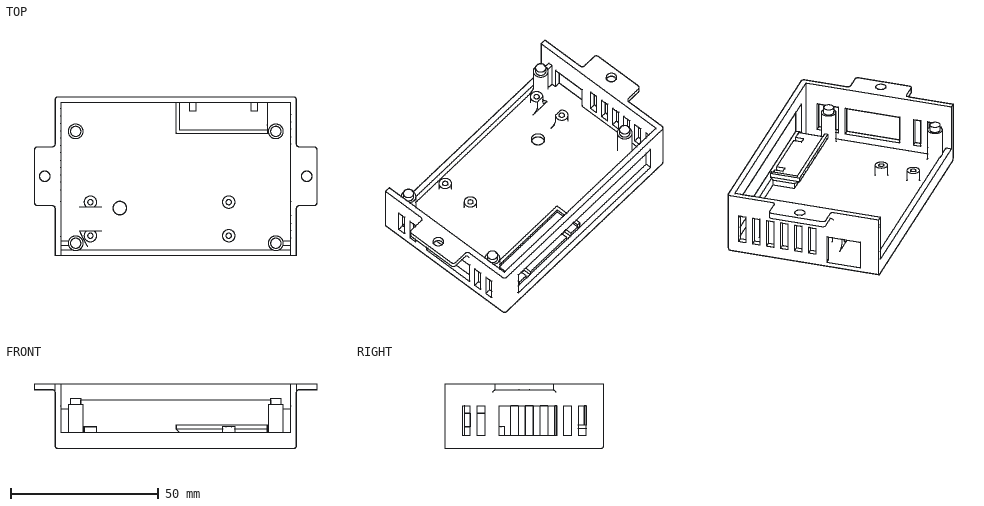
import cadquery as cq
LENGTH = 82
WIDTH = 54
HEIGHT = 22
WALL = 2
FLOOR = 2
EDGE_RADIUS = 1
FRONT_WALL_TOP = 5.5

TAB_WIDTH = 20
TAB_REACH = 7
TAB_THICKNESS = 2
TAB_RADIUS = 1
TAB_HOLE_DIAMETER = 3.5
TAB_HOLE_INSET = 3.5

WINDOW_LENGTH = 68
WINDOW_BOTTOM = FRONT_WALL_TOP
WINDOW_TOP = 16.5

SLOT_WIDTH = 2.6
SLOT_PITCH = 5
SLOT_BOTTOM = 4.5
SLOT_HEIGHT = 10
LEFT_SLOT_COUNT = 6
LEFT_SLOT_LAST_Y = 21.7
RIGHT_SLOT_YS = (-19.7, -14.7, 14.7, 19.7)
RIGHT_WINDOW_WIDTH = 19.5
RIGHT_WINDOW_Y = 1.25

PORT_WIDTH = 12
PORT_HEIGHT = 10

POST_DIAMETER = 5
POST_TOP = 15
POST_X = 34
POST_FRONT_Y = -22.75
POST_BACK_Y = 15.25
PIN_DIAMETER = 3.5
PIN_HEIGHT = 2
BASE_FLARE = 2
RIB_THICKNESS = 1.5
RIB_TOP = 13.5

STANDOFF_DIAMETER = 4.2
STANDOFF_TOP = 7.5
STANDOFF_BORE = 1.8
STANDOFF_LEFT_X = -29
STANDOFF_RIGHT_X = 18
STANDOFF_SPACING = 11.4
BOARD_Y = -14.5
CONNECTOR_WIDTH = 8.2

FLOOR_HOLE_DIAMETER = 4.5
FLOOR_HOLE_X = -19
FLOOR_HOLE_Y = -10.8

SHELF_LEFT_X = 0.1
SHELF_RIGHT_X = 31.1
SHELF_DEPTH = 10.4
SHELF_TOP = 8.1
SHELF_EDGE = 1.45
SHELF_UNDERCUT = 2.75
SHELF_RIM = 1.15
SHELF_RECESS = 1.2
NOTCH_WIDTH = 2.2
NOTCH_LENGTH = 2.9
NOTCH_DEPTH = 2
NOTCH_XS = (5.8, 26.6)

INNER_X = LENGTH / 2 - WALL
INNER_Y = WIDTH / 2 - WALL
TAB_BOTTOM = HEIGHT - TAB_THICKNESS

SELECT_MARGIN = 0.1


def block(x0, x1, y0, y1, z0, z1):
    """Box between two opposite corners."""
    return cq.Workplane("XY").box(x1 - x0, y1 - y0, z1 - z0, centered=False).translate((x0, y0, z0))


def cylinder(diameter, x, y, z0, z1):
    """Upright cylinder from z0 to z1."""
    return cq.Workplane("XY").circle(diameter / 2).extrude(z1 - z0).translate((x, y, z0))


def shell():
    """Open tray with a low front wall and rounded side, back and bottom edges."""
    outer = block(-LENGTH / 2, LENGTH / 2, -WIDTH / 2, WIDTH / 2, 0, HEIGHT)
    outer = outer.edges("(>Y and |Z) or (<Z and (|Y or >Y))").fillet(EDGE_RADIUS)
    cavity = block(-INNER_X, INNER_X, -INNER_Y, INNER_Y, FLOOR, HEIGHT)
    front_gap = block(-INNER_X, INNER_X, -WIDTH / 2, -INNER_Y, FRONT_WALL_TOP, HEIGHT)
    return outer.cut(cavity).cut(front_gap)


def add_tabs(body):
    """Screw tabs level with the rim, blended into the end walls."""
    reach = LENGTH / 2 + TAB_REACH
    for side in (-1, 1):
        inner, outer = sorted((side * INNER_X, side * reach))
        tab = block(inner, outer, -TAB_WIDTH / 2, TAB_WIDTH / 2, TAB_BOTTOM, HEIGHT)
        tip = ">X" if side > 0 else "<X"
        body = body.union(tab.edges("|Z").edges(tip).fillet(TAB_RADIUS))
        at_wall = cq.selectors.BoxSelector(
            (side * LENGTH / 2 - SELECT_MARGIN, -TAB_WIDTH / 2 - SELECT_MARGIN, TAB_BOTTOM - SELECT_MARGIN),
            (side * LENGTH / 2 + SELECT_MARGIN, TAB_WIDTH / 2 + SELECT_MARGIN, HEIGHT - SELECT_MARGIN),
        )
        body = body.edges(at_wall).fillet(TAB_RADIUS)
        hole_x = side * (reach - TAB_HOLE_INSET)
        body = body.cut(cylinder(TAB_HOLE_DIAMETER, hole_x, 0, TAB_BOTTOM, HEIGHT))
    return body


def cut_wall_openings(body):
    """Back window, cooling slots, right window and the left port."""
    half = WINDOW_LENGTH / 2
    body = body.cut(block(-half, half, INNER_Y, WIDTH / 2, WINDOW_BOTTOM, WINDOW_TOP))

    slot_top = SLOT_BOTTOM + SLOT_HEIGHT
    left_slot_ys = [LEFT_SLOT_LAST_Y - SLOT_PITCH * i for i in range(LEFT_SLOT_COUNT)]
    openings = [(-1, y, SLOT_WIDTH, SLOT_BOTTOM, slot_top) for y in left_slot_ys]
    openings += [(1, y, SLOT_WIDTH, SLOT_BOTTOM, slot_top) for y in RIGHT_SLOT_YS]
    openings.append((1, RIGHT_WINDOW_Y, RIGHT_WINDOW_WIDTH, SLOT_BOTTOM, slot_top))
    openings.append((-1, BOARD_Y, PORT_WIDTH, FLOOR, FLOOR + PORT_HEIGHT))
    for side, y, width, bottom, top in openings:
        x0, x1 = sorted((side * INNER_X, side * LENGTH / 2))
        body = body.cut(block(x0, x1, y - width / 2, y + width / 2, bottom, top))
    return body


def flared_column(diameter, x, y, top):
    """Column on the floor with a concave flare around its foot."""
    radius = diameter / 2
    profile = (
        cq.Workplane("XZ")
        .lineTo(radius + BASE_FLARE, 0)
        .radiusArc((radius, BASE_FLARE), BASE_FLARE)
        .lineTo(radius, top - FLOOR)
        .lineTo(0, top - FLOOR)
        .close()
    )
    return profile.revolve(360, (0, 0, 0), (0, 1, 0)).translate((x, y, FLOOR))


def corner_posts():
    """Four locating posts with pins; ribs brace the front pair to the end walls.

    The flares of the front pair stop at the ribs and at the low front wall.
    """
    rib_front = POST_FRONT_Y - RIB_THICKNESS / 2
    rib_back = POST_FRONT_Y + RIB_THICKNESS / 2
    flares = cq.Workplane("XY")
    shafts = cq.Workplane("XY")
    for side in (-1, 1):
        x = side * POST_X
        for y in (POST_FRONT_Y, POST_BACK_Y):
            flares = flares.union(flared_column(POST_DIAMETER, x, y, POST_TOP))
            shafts = shafts.union(cylinder(POST_DIAMETER, x, y, FLOOR, POST_TOP))
            shafts = shafts.union(cylinder(PIN_DIAMETER, x, y, POST_TOP, POST_TOP + PIN_HEIGHT))
        x0, x1 = sorted((x, side * INNER_X))
        flares = flares.cut(block(x0, x1, -WIDTH / 2, rib_front, FLOOR, POST_TOP))
        shafts = shafts.union(block(x0, x1, rib_front, rib_back, FLOOR, RIB_TOP))
    front_wall = block(-INNER_X, INNER_X, -WIDTH, -INNER_Y, FLOOR, FRONT_WALL_TOP)
    return flares.union(shafts).cut(front_wall)


def board_standoffs():
    """Four bored standoffs; the left pair is trimmed to clear the connector."""
    standoffs = cq.Workplane("XY")
    for x in (STANDOFF_LEFT_X, STANDOFF_RIGHT_X):
        for side in (-1, 1):
            y = BOARD_Y + side * STANDOFF_SPACING / 2
            column = flared_column(STANDOFF_DIAMETER, x, y, STANDOFF_TOP)
            standoffs = standoffs.union(column.cut(cylinder(STANDOFF_BORE, x, y, FLOOR, STANDOFF_TOP)))
    half = CONNECTOR_WIDTH / 2
    clearance = block(-INNER_X, 0, BOARD_Y - half, BOARD_Y + half, FLOOR, STANDOFF_TOP)
    return standoffs.cut(clearance)


def shelf():
    """Shelf by the back window: rimmed top, bevelled underside, narrower pedestal."""
    front_y = INNER_Y - SHELF_DEPTH
    edge_bottom = SHELF_TOP - SHELF_EDGE
    pedestal_top = edge_bottom - SHELF_UNDERCUT
    body = block(SHELF_LEFT_X, SHELF_RIGHT_X, front_y, INNER_Y, pedestal_top, SHELF_TOP)
    left_bevel = (
        cq.Workplane("XZ")
        .moveTo(SHELF_LEFT_X, edge_bottom)
        .lineTo(SHELF_LEFT_X, pedestal_top)
        .lineTo(SHELF_LEFT_X + SHELF_UNDERCUT, pedestal_top)
        .close()
        .extrude(-WIDTH)
    )
    front_bevel = (
        cq.Workplane("YZ")
        .moveTo(front_y, edge_bottom)
        .lineTo(front_y, pedestal_top)
        .lineTo(front_y + SHELF_UNDERCUT, pedestal_top)
        .close()
        .extrude(LENGTH)
    )
    body = body.cut(left_bevel).cut(front_bevel)
    pedestal_left = SHELF_LEFT_X + SHELF_UNDERCUT
    pedestal_front = front_y + SHELF_UNDERCUT
    body = body.union(block(pedestal_left, SHELF_RIGHT_X, pedestal_front, INNER_Y, FLOOR, pedestal_top))

    recess_left = SHELF_LEFT_X + SHELF_RIM
    recess_front = front_y + SHELF_RIM
    recess_floor = SHELF_TOP - SHELF_RECESS
    body = body.cut(block(recess_left, SHELF_RIGHT_X, recess_front, INNER_Y, recess_floor, SHELF_TOP))
    notch_floor = recess_floor - NOTCH_DEPTH
    half = NOTCH_WIDTH / 2
    for x in NOTCH_XS:
        body = body.cut(block(x - half, x + half, INNER_Y - NOTCH_LENGTH, INNER_Y, notch_floor, SHELF_TOP))
    return body


result = cut_wall_openings(add_tabs(shell()))
result = result.union(corner_posts()).union(board_standoffs()).union(shelf())
result = result.cut(cylinder(FLOOR_HOLE_DIAMETER, FLOOR_HOLE_X, FLOOR_HOLE_Y, 0, FLOOR))